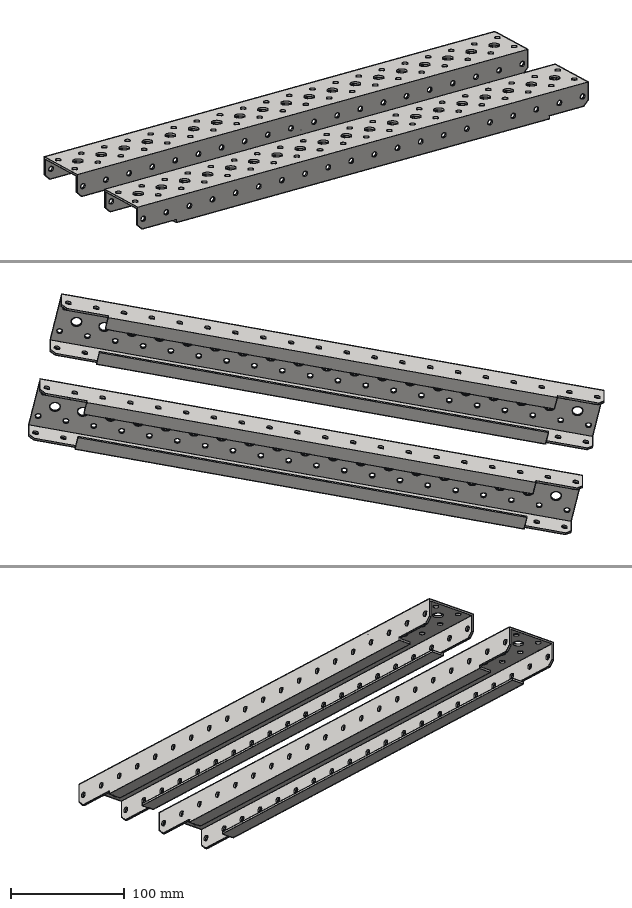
import cadquery as cq

length = 487.0
rail_count = 2
rail_gap = 41.0
sheet = 2.0

row_span = 475.0
small_row_count = 20
small_column_count = 2
large_row_count = small_row_count - 1
large_column_count = 1
pitch = row_span / (small_row_count - 1)
small_hole = 5.0
large_hole = 9.3

width = 2 * pitch
height = pitch
slot_width = pitch
wall_hole_height = height / 2
rail_spacing = width + rail_gap

notch_length = 42.0
notch_height = 3.0
wall_chamfer = 5.0


def channel_blank():
    """Lipped channel: a square tube of sheet with a slot along the bottom."""
    outside = cq.Workplane("XY").box(width, length, height, centered=(True, True, False))
    inside = (
        cq.Workplane("XY").workplane(offset=sheet)
        .box(width - 2 * sheet, length, height - 2 * sheet, centered=(True, True, False))
    )
    slot = cq.Workplane("XY").box(slot_width, length, 2 * sheet)
    return outside.cut(inside).cut(slot)


def end_notches():
    """Cutters that take off the lips at both ends and chamfer the wall corners left there."""
    half = length / 2
    end_y = half - notch_length
    chamfer_start = half - wall_chamfer
    one_end = (
        cq.Workplane("YZ").workplane(offset=-width / 2)
        .moveTo(end_y, 0)
        .lineTo(end_y, notch_height)
        .lineTo(chamfer_start, notch_height)
        .lineTo(half, notch_height + wall_chamfer)
        .lineTo(half, 0)
        .close()
        .extrude(width)
    )
    return one_end.union(one_end.mirror("XZ"))


def web_holes(diameter, columns, rows):
    """Drills for a grid of holes through the top web."""
    return (
        cq.Workplane("XY").workplane(offset=height / 2)
        .rarray(pitch, pitch, columns, rows).circle(diameter / 2).extrude(height)
    )


def wall_holes():
    """Drills that pass through both side walls."""
    return (
        cq.Workplane("YZ").workplane(offset=-width / 2)
        .center(0, wall_hole_height)
        .rarray(pitch, pitch, small_row_count, 1).circle(small_hole / 2).extrude(width)
    )


def rail(centre_x):
    """One finished rail, centred on the given X."""
    body = (
        channel_blank()
        .cut(end_notches())
        .cut(web_holes(small_hole, small_column_count, small_row_count))
        .cut(web_holes(large_hole, large_column_count, large_row_count))
        .cut(wall_holes())
    )
    return body.translate((centre_x, 0, 0))


rails = [rail((i - (rail_count - 1) / 2) * rail_spacing) for i in range(rail_count)]
result = cq.Compound.makeCompound([body.val() for body in rails])